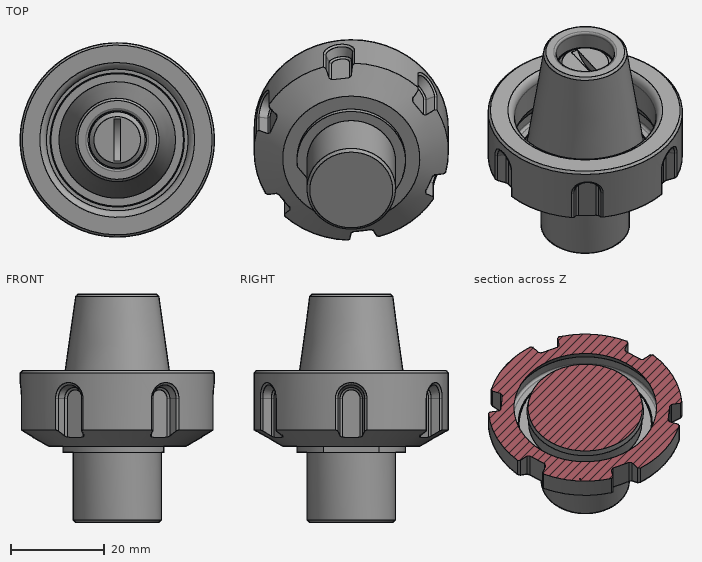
import cadquery as cq
import math

TOTAL_HEIGHT = 49.0
COLLAR_BOTTOM_Z = 15.1
NUT_BOTTOM_Z = 16.35
NUT_RIM_BOTTOM_Z = 19.9
NUT_TOP_Z = 32.65

SHANK_RADIUS = 19.0 / 2
SHANK_CHAMFER = 0.6
COLLAR_RADIUS = 11.65
COLLAR_FLAT_X = 10.0

NUT_RADIUS = 41.7 / 2
NUT_TOP_CHAMFER = 0.5
NUT_BOTTOM_ANGLE = 30.0
BORE_RADIUS = 30.38 / 2
BORE_MOUTH_RADIUS = 16.6
BORE_EDGE_RADIUS = 2.0
BORE_END_Z = 24.6
RELIEF_RADIUS = 32.5 / 2
RELIEF_TOP_Z = 22.3
RELIEF_FILLET = 0.6
NUT_FLOOR_Z = 19.5
SEAT_RADIUS = 28.8 / 2
SEAT_DEPTH = 0.5

FLANGE_RADIUS = 14.2
NECK_RADIUS = 24.3 / 2
TAPER_TOP_RADIUS = 17.9 / 2
TAPER_BOTTOM_RADIUS = 12.5
TAPER_ANGLE = 8.0
TAPER_CHAMFER = 0.5

MOUTH_RADIUS = 12.5 / 2
MOUTH_FILLET = 0.5
SCREW_DEPTH = 3.0
SCREW_RADIUS = 12.0 / 2
SCREW_FACE_RADIUS = 10.0 / 2
SCREW_CONE_ANGLE = 45.0
DRIVER_SLOT_WIDTH = 1.47
DRIVER_SLOT_RADIUS = 6.0
DRIVER_SLOT_DEPTH = 2.0

WRENCH_SLOT_COUNT = 6
WRENCH_SLOT_ARC_Z = 26.6
WRENCH_FLOOR_DISTANCE = 18.05
WRENCH_FLOOR_HALF_WIDTH = 1.9
WRENCH_FLOOR_BEVEL_WIDTH = 0.5
WRENCH_FLOOR_BEVEL_HEIGHT = 0.35
WRENCH_WALL_DRAFT = 15.0
WRENCH_EDGE_CHAMFER = 0.4

CUT_OVERRUN = 1.0
TOLERANCE = 0.001


def tan_deg(angle):
    return math.tan(math.radians(angle))


def cylinder(radius, bottom_z, top_z):
    return cq.Workplane("XY").workplane(offset=bottom_z).circle(radius).extrude(top_z - bottom_z)


def slot_outline(half_width, distance):
    """Arch-topped closed wire facing -X at the given distance from the axis."""
    bottom = NUT_BOTTOM_Z - WRENCH_SLOT_ARC_Z - CUT_OVERRUN
    plane = cq.Plane(origin=(-distance, 0, WRENCH_SLOT_ARC_Z), xDir=(0, -1, 0), normal=(-1, 0, 0))
    return (
        cq.Workplane(plane)
        .moveTo(-half_width, bottom)
        .lineTo(-half_width, 0)
        .threePointArc((0, half_width), (half_width, 0))
        .lineTo(half_width, bottom)
        .close()
        .val()
    )


def wrench_slot():
    """Wrench slot on the -X side: bevelled flat floor and drafted walls."""
    bevel_half_width = WRENCH_FLOOR_HALF_WIDTH + WRENCH_FLOOR_BEVEL_WIDTH
    wall_start = WRENCH_FLOOR_DISTANCE + WRENCH_FLOOR_BEVEL_HEIGHT
    wall_end = NUT_RADIUS + CUT_OVERRUN
    wall_end_half_width = bevel_half_width + (wall_end - wall_start) * tan_deg(WRENCH_WALL_DRAFT)
    floor = slot_outline(WRENCH_FLOOR_HALF_WIDTH, WRENCH_FLOOR_DISTANCE)
    bevel_top = slot_outline(bevel_half_width, wall_start)
    mouth = slot_outline(wall_end_half_width, wall_end)
    bevel = cq.Solid.makeLoft([floor, bevel_top], True)
    walls = cq.Solid.makeLoft([bevel_top, mouth], True)
    return cq.Workplane(bevel.fuse(walls))


def nut_blank():
    """Turned nut body, solid up to its inner floor."""
    bottom_radius = NUT_RADIUS - (NUT_RIM_BOTTOM_Z - NUT_BOTTOM_Z) / tan_deg(NUT_BOTTOM_ANGLE)
    edge_centre_radius = BORE_RADIUS + BORE_EDGE_RADIUS
    edge_depth = math.sqrt(BORE_EDGE_RADIUS**2 - (edge_centre_radius - BORE_MOUTH_RADIUS) ** 2)
    arc_reach = BORE_EDGE_RADIUS * math.sqrt(0.5)
    relief_offset = RELIEF_FILLET * (1 - math.sqrt(0.5))
    return (
        cq.Workplane("XZ")
        .moveTo(0, NUT_BOTTOM_Z)
        .lineTo(bottom_radius, NUT_BOTTOM_Z)
        .lineTo(NUT_RADIUS, NUT_RIM_BOTTOM_Z)
        .lineTo(NUT_RADIUS, NUT_TOP_Z - NUT_TOP_CHAMFER)
        .lineTo(NUT_RADIUS - NUT_TOP_CHAMFER, NUT_TOP_Z)
        .lineTo(BORE_MOUTH_RADIUS, NUT_TOP_Z)
        .threePointArc(
            (edge_centre_radius - arc_reach, NUT_TOP_Z - edge_depth + arc_reach),
            (BORE_RADIUS, NUT_TOP_Z - edge_depth),
        )
        .lineTo(BORE_RADIUS, BORE_END_Z)
        .lineTo(RELIEF_RADIUS, RELIEF_TOP_Z)
        .lineTo(RELIEF_RADIUS, NUT_FLOOR_Z + RELIEF_FILLET)
        .threePointArc(
            (RELIEF_RADIUS - relief_offset, NUT_FLOOR_Z + relief_offset),
            (RELIEF_RADIUS - RELIEF_FILLET, NUT_FLOOR_Z),
        )
        .lineTo(0, NUT_FLOOR_Z)
        .close()
        .revolve(360, (0, 0, 0), (0, 1, 0))
    )


def is_slot_edge(edge):
    """True for a slot edge on the rim: it climbs the outer cylinder but stays below the rim's top."""
    middle = edge.positionAt(0.5)
    box = edge.BoundingBox()
    on_rim = abs(math.hypot(middle.x, middle.y) - NUT_RADIUS) < TOLERANCE
    below_top = box.zmax < NUT_TOP_Z - NUT_TOP_CHAMFER - TOLERANCE
    return on_rim and below_top and box.zlen > TOLERANCE


def nut():
    """Nut with its wrench slots, their edges on the outer cylinder chamfered."""
    slot = wrench_slot()
    body = nut_blank()
    for index in range(WRENCH_SLOT_COUNT):
        body = body.cut(slot.rotate((0, 0, 0), (0, 0, 1), index * 360 / WRENCH_SLOT_COUNT))
    return body.edges().filter(is_slot_edge).chamfer(WRENCH_EDGE_CHAMFER)


def collet():
    """Flange flush with the nut floor, neck and taper."""
    taper_top_z = TOTAL_HEIGHT - TAPER_CHAMFER
    taper_bottom_z = taper_top_z - (TAPER_BOTTOM_RADIUS - TAPER_TOP_RADIUS) / tan_deg(TAPER_ANGLE)
    return (
        cq.Workplane("XZ")
        .moveTo(0, NUT_BOTTOM_Z)
        .lineTo(FLANGE_RADIUS, NUT_BOTTOM_Z)
        .lineTo(FLANGE_RADIUS, NUT_FLOOR_Z)
        .lineTo(NECK_RADIUS, NUT_FLOOR_Z)
        .lineTo(NECK_RADIUS, taper_bottom_z)
        .lineTo(TAPER_BOTTOM_RADIUS, taper_bottom_z)
        .lineTo(TAPER_TOP_RADIUS, taper_top_z)
        .lineTo(TAPER_TOP_RADIUS - TAPER_CHAMFER, TOTAL_HEIGHT)
        .lineTo(0, TOTAL_HEIGHT)
        .close()
        .revolve(360, (0, 0, 0), (0, 1, 0))
    )


def mouth_cutter():
    """Space above the set screw: rounded mouth, straight wall and the screw's coned end."""
    screw_face_z = TOTAL_HEIGHT - SCREW_DEPTH
    cone_bottom_z = screw_face_z - (SCREW_RADIUS - SCREW_FACE_RADIUS) * tan_deg(SCREW_CONE_ANGLE)
    fillet_offset = MOUTH_FILLET * (1 - math.sqrt(0.5))
    return (
        cq.Workplane("XZ")
        .moveTo(0, screw_face_z)
        .lineTo(SCREW_FACE_RADIUS, screw_face_z)
        .lineTo(SCREW_RADIUS, cone_bottom_z)
        .lineTo(MOUTH_RADIUS, cone_bottom_z)
        .lineTo(MOUTH_RADIUS, TOTAL_HEIGHT - MOUTH_FILLET)
        .threePointArc(
            (MOUTH_RADIUS + fillet_offset, TOTAL_HEIGHT - fillet_offset),
            (MOUTH_RADIUS + MOUTH_FILLET, TOTAL_HEIGHT),
        )
        .lineTo(0, TOTAL_HEIGHT)
        .close()
        .revolve(360, (0, 0, 0), (0, 1, 0))
    )


def driver_slot_cutter():
    """Screwdriver slot along Y with a floor curved about an axis parallel to X."""
    slot_centre_z = TOTAL_HEIGHT - SCREW_DEPTH - DRIVER_SLOT_DEPTH + DRIVER_SLOT_RADIUS
    return (
        cq.Workplane("YZ")
        .center(0, slot_centre_z)
        .circle(DRIVER_SLOT_RADIUS)
        .extrude(DRIVER_SLOT_WIDTH / 2, both=True)
    )


def shank():
    """Straight shank with a chamfered lower end."""
    return cylinder(SHANK_RADIUS, 0, NUT_BOTTOM_Z).faces("<Z").chamfer(SHANK_CHAMFER)


def collar():
    """Round collar under the nut with a flat on its +X side."""
    flat_cut = (
        cq.Workplane("XY")
        .box(COLLAR_RADIUS, 2 * COLLAR_RADIUS, TOTAL_HEIGHT, centered=(False, True, False))
        .translate((COLLAR_FLAT_X, 0, 0))
    )
    return cylinder(COLLAR_RADIUS, COLLAR_BOTTOM_Z, NUT_BOTTOM_Z).cut(flat_cut)


def seat():
    """Shallow seat in the nut floor; the smaller flange leaves a narrow groove around itself."""
    return cylinder(SEAT_RADIUS, NUT_FLOOR_Z - SEAT_DEPTH, NUT_FLOOR_Z)


result = nut().cut(seat()).union(collet()).union(collar()).union(shank())
result = result.cut(mouth_cutter()).cut(driver_slot_cutter())